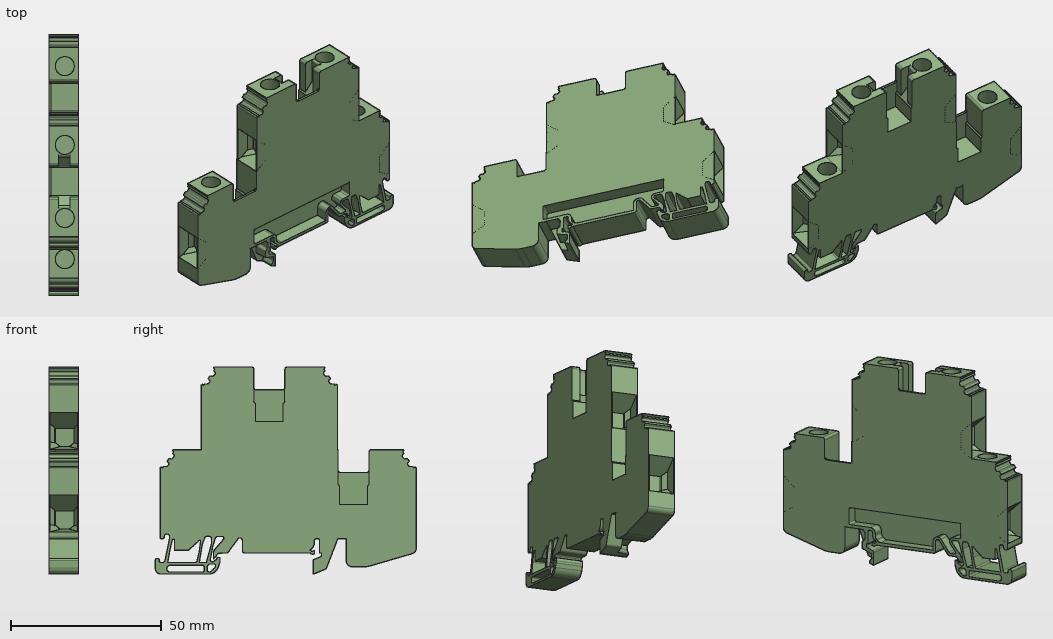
import cadquery as cq
import math


width = 9.9
height = 68.75
length = 86.62
lower_near_face = 1.63
lower_far_face = length
upper_near_face = 15.25
upper_far_face = 60.5
deck_step = 27.4
upper_top = height
lower_top = upper_top - deck_step

pocket_length = 10.2
pocket_depth = 7.55
pocket_edge_radius = 0.8
pocket_corner_chamfer = 0.5
pocket_lip = 0.8
inner_floor_drop = 4.6
well_depth = 6.0
upper_pocket_center = (upper_near_face + upper_far_face) / 2
lower_pocket_center = 65.8

terminal_x = 5.3
screw_hole_diameter = 6.3
screw_hole_inset = 10.5
screw_hole_depth = 9.0
funnel_depth = 6.0
funnel_bend_depth = 4.2
funnel_side_wall = 0.42
mouth_top_drop = 15.1
mouth_bottom_drop = deck_step
throat_width = 6.15
throat_top_drop = 20.4
throat_bottom_drop = 26.4
throat_corner_width = 1.6
throat_corner_height = 1.25
throat_corner_tilt = 1.05

clamp_width = 7.0
clamp_length = 8.0

slot_x = 5.15
slot_width = 3.75
slot_length = 2.9

rail_recess_depth = 4.2
foot_web_recess_depth = 4.2
foot_web_taper = 4.5
ledge_z = 11.76


def rounded_wire(points):
    """Closed YZ outline through (y, z) corners; a third number rounds that corner."""
    count = len(points)
    pieces = []
    for i, point in enumerate(points):
        corner = cq.Vector(point[0], point[1])
        if len(point) == 2:
            pieces.append((corner, None, corner))
            continue
        before = cq.Vector(*points[i - 1][:2])
        after = cq.Vector(*points[(i + 1) % count][:2])
        to_before = (before - corner).normalized()
        to_after = (after - corner).normalized()
        half_angle = to_before.getAngle(to_after) / 2
        radius = point[2]
        setback = radius / math.tan(half_angle)
        bisector = (to_before + to_after).normalized()
        middle = corner + bisector * (radius / math.sin(half_angle) - radius)
        pieces.append((corner + to_before * setback, middle, corner + to_after * setback))
    sketch = cq.Workplane("YZ").moveTo(pieces[0][2].x, pieces[0][2].y)
    for start, middle, end in pieces[1:] + pieces[:1]:
        sketch = sketch.lineTo(start.x, start.y)
        if middle is not None:
            sketch = sketch.threePointArc((middle.x, middle.y), (end.x, end.y))
    return sketch.close()


def plate(points, depth=width):
    return rounded_wire(points).extrude(depth)


def ridge_points(face_y, inward, top_z):
    """Stepped grip ridges from an end face up to the deck top, as (inset, drop, radius)."""
    profile = [
        (0, 6.05, 0.2), (0.5, 5.75), (0.8, 6.1), (1.2, 5.6),
        (2.4, 5.6, 0.8), (3.05, 4.7, 0.5), (2.3, 3.85), (3.1, 2.85, 0.5), (3.85, 3.15, 0.2),
        (4.95, 2.15, 0.7), (4.15, 1.3), (4.45, 0.75), (4.15, 0.3, 0.1), (4.3, 0),
    ]
    return [(face_y + inward * inset, top_z - drop, *radius) for inset, drop, *radius in profile]


def pocket_points(center_y, top_z):
    """Pocket outline from its -Y edge to its +Y edge."""
    half = pocket_length / 2
    floor_z = top_z - pocket_depth
    near = [
        (-half, top_z, pocket_edge_radius),
        (-half, floor_z + pocket_corner_chamfer),
        (-half + pocket_corner_chamfer, floor_z),
    ]
    far = [(-y, *rest) for y, *rest in reversed(near)]
    return [(center_y + y, *rest) for y, *rest in near + far]


def housing_outline():
    decks = [
        *ridge_points(lower_near_face, 1, lower_top),
        (upper_near_face, lower_top),
        *ridge_points(upper_near_face, 1, upper_top),
        *pocket_points(upper_pocket_center, upper_top),
        *reversed(ridge_points(upper_far_face, -1, upper_top)),
        (upper_far_face, lower_top),
        (lower_pocket_center - pocket_length / 2, lower_top),
        *pocket_points(lower_pocket_center, lower_top)[1:],
        *reversed(ridge_points(lower_far_face, -1, lower_top)),
    ]
    far_end = [
        (lower_far_face, 7.2, 2.0), (70.2, 2.4, 8.0),
        (63.3, 2.4, 2.2), (63.3, ledge_z),
    ]
    fixed_foot = [
        (60.59, ledge_z), (56.76, 1.8, 0.8), (53.0, 0.2), (52.35, 0), (52.35, 4.8, 0.6),
        (55.1, 5.9, 0.5), (55.1, 7.03), (54.48, 7.03),
    ]
    rail_stop = [
        (54.48, ledge_z, 0.5), (52.84, ledge_z, 0.6), (52.84, 9.4, 2.5), (51.4, 8.0),
        (52.0, 7.6), (52.9, 7.9, 0.2), (52.9, 6.8), (52.2, 6.5, 0.2), (51.3, 7.03),
    ]
    spring = [
        (28.89, 7.03, 0.7), (28.89, 12.0, 0.8), (27.7, 12.0, 0.5), (24.05, 7.03, 0.8),
        (20.75, 6.9, 0.8), (20.3, 6.0), (19.3, 5.0), (19.3, 7.7, 2.0), (22.95, 11.95, 0.5),
        (22.4, 12.5, 0.4), (20.15, 12.5, 0.9), (19.1, 9.0), (18.25, 4.4, 0.5), (19.1, 4.1, 0.3),
        (20.4, 5.0), (20.45, 5.6),
    ]
    release_foot = [
        (21.57, 5.6), (21.57, 4.2, 2.5), (20.2, 0, 3.5), (0, 0, 2.0), (0, 5.29, 0.7),
        (1.42, 5.29, 0.7), (1.42, 3.92, 0.4), (3.1, 3.92, 0.8), (4.72, 11.8), (4.72, 13.3, 0.7),
        (3.1, 13.3, 0.7), (3.1, 11.7, 0.8), (lower_near_face, 11.7, 0.6),
    ]
    return decks + far_end + fixed_foot + rail_stop + spring + release_foot


def spring_openings():
    """Closed openings between the spring legs and inside the release foot."""
    leg_gap = [(18.63, 12.55, 0.7), (16.65, 12.55, 0.8), (15.7, 10.0), (14.68, 3.92), (16.95, 3.92), (18.63, 10.0)]
    wide_gap = [
        (15.1, 11.6, 0.2), (11.01, 7.91), (6.34, 7.91), (6.34, 11.6, 0.1), (5.78, 11.6, 0.2),
        (4.9, 7.84), (4.22, 3.92), (13.7, 3.92, 0.6), (14.6, 7.5),
    ]
    toe_hole = [
        (20.1, 3.37, 0.5), (17.29, 3.37, 1.0), (17.29, 0.8, 0.5), (18.4, 0.8, 0.5), (19.9, 2.3, 0.4),
    ]
    bar_slot = [(16.24, 2.94, 0.5), (3.92, 2.94, 1.0), (3.92, 0.75, 1.0), (16.24, 0.75, 0.5)]
    return [leg_gap, wide_gap, toe_hole, bar_slot]


def rail_recess():
    return plate([
        (61.76, 18.63, 0.7), (19.35, 18.63), (19.35, 13.33, 0.7), (23.0, 13.33, 1.0),
        (23.9, 11.9, 1.2), (20.75, 7.84, 0.5), (23.55, 7.84, 0.9), (27.2, 12.81, 1.2),
        (29.9, 12.81, 1.8), (29.9, 8.1), (50.4, 8.1, 2.0), (51.75, 9.6, 2.0), (51.75, 12.81, 1.8),
        (61.76, 12.81, 0.7),
    ], rail_recess_depth)


def foot_web_recess():
    """Tapered cut that leaves a thin web behind the bent rib of the fixed foot."""
    outer_y = 62.0
    return rounded_wire([
        (outer_y, ledge_z), (56.3, ledge_z, 0.6), (55.65, 10.6, 0.6), (55.65, 8.6, 0.5), (56.75, 7.6, 0.2),
        (56.75, 5.2, 0.2), (53.1, 3.9, 0.2), (53.1, 2.3, 0.4), (54.0, 1.1, 0.4), (54.0, -1.0), (outer_y, -1.0),
    ]).extrude(foot_web_recess_depth, taper=foot_web_taper)


def box(x_range, y_range, z_range):
    sizes = [abs(r[1] - r[0]) for r in (x_range, y_range, z_range)]
    low = [min(r) for r in (x_range, y_range, z_range)]
    return cq.Workplane("XY").box(*sizes, centered=False).translate(tuple(low))


def pocket_well(center_y, top_z):
    """Deeper part of a pocket behind its lip, stepped in by a chamfer at the inner floor."""
    half = pocket_length / 2
    half_well = half - pocket_corner_chamfer
    lip_z = top_z - pocket_depth
    inner_z = lip_z - inner_floor_drop
    near = [
        (-half, lip_z + pocket_corner_chamfer),
        (-half, inner_z + pocket_corner_chamfer),
        (-half_well, inner_z),
        (-half_well, inner_z - well_depth),
    ]
    far = [(-y, z) for y, z in reversed(near)]
    profile = [(center_y + y, z) for y, z in near + far]
    return plate(profile, width - pocket_lip).translate((pocket_lip, 0, 0))


def wire_funnel(face_y, inward, top_z):
    """Funnel with straight side walls that turn in towards the throat, and cut lower corners."""
    left = funnel_side_wall
    right = width - funnel_side_wall
    throat_left = terminal_x - throat_width / 2
    throat_right = terminal_x + throat_width / 2
    throat_bottom = top_z - throat_bottom_drop
    throat_y = face_y + inward * funnel_depth
    bend_y = face_y + inward * funnel_bend_depth
    side_profile = plate([
        (face_y, top_z - mouth_top_drop), (throat_y, top_z - throat_top_drop),
        (throat_y, throat_bottom), (face_y, top_z - mouth_bottom_drop),
    ])
    plan = [
        (left, face_y), (right, face_y), (right, bend_y),
        (throat_right, throat_y), (throat_left, throat_y), (left, bend_y),
    ]
    funnel = side_profile.intersect(cq.Workplane("XY").polyline(plan).close().extrude(height))
    for corner_x, outward in ((throat_left, -1), (throat_right, 1)):
        corner_plane = cq.Plane(
            origin=(corner_x, throat_y, throat_bottom + throat_corner_height),
            xDir=(outward * throat_corner_width, 0, throat_corner_height),
            normal=(outward * throat_corner_height, inward * throat_corner_tilt, -throat_corner_width),
        )
        funnel = funnel.cut(cq.Workplane(corner_plane).rect(length, length).extrude(length))
    return funnel


def screw_hole(face_y, inward, top_z):
    center = (terminal_x, face_y + inward * screw_hole_inset, top_z - screw_hole_depth)
    return cq.Workplane("XY").circle(screw_hole_diameter / 2).extrude(screw_hole_depth).translate(center)


def clamp(face_y, inward, top_z):
    """Clamp block that closes the funnel throat and the bottom of the screw hole."""
    front_y = face_y + inward * funnel_depth
    return box(
        (terminal_x - clamp_width / 2, terminal_x + clamp_width / 2),
        (front_y, front_y + inward * clamp_length),
        (top_z - throat_bottom_drop, top_z - screw_hole_depth),
    )


def screwdriver_slot(direction):
    """Slot in one wall of the upper pocket, its floor rising at 45 degrees away from the pocket."""
    wall_y = upper_pocket_center + direction * pocket_length / 2
    back_y = wall_y + direction * slot_length
    foot_y = wall_y - direction * pocket_corner_chamfer
    foot_z = upper_top - pocket_depth - inner_floor_drop
    past_back_y = back_y + 2 * direction * pocket_edge_radius
    above_z = upper_top + pocket_edge_radius
    profile = [
        (foot_y, foot_z),
        (back_y, foot_z + abs(back_y - foot_y)),
        (back_y, upper_top, pocket_edge_radius),
        (past_back_y, upper_top),
        (past_back_y, above_z),
        (foot_y, above_z),
    ]
    return plate(profile, slot_width).translate((slot_x - slot_width / 2, 0, 0))


terminals = [
    (lower_near_face, 1, lower_top),
    (upper_near_face, 1, upper_top),
    (upper_far_face, -1, upper_top),
    (lower_far_face, -1, lower_top),
]

housing = plate(housing_outline())
for opening in spring_openings():
    housing = housing.cut(plate(opening))
housing = housing.cut(rail_recess()).cut(foot_web_recess())
housing = housing.cut(pocket_well(upper_pocket_center, upper_top))
housing = housing.cut(pocket_well(lower_pocket_center, lower_top))
for direction in (-1, 1):
    housing = housing.cut(screwdriver_slot(direction))

clamps = []
for terminal in terminals:
    block = clamp(*terminal)
    housing = housing.cut(wire_funnel(*terminal)).cut(screw_hole(*terminal)).cut(block)
    clamps.append(block)

result = cq.Compound.makeCompound([housing.val(), *[block.val() for block in clamps]])